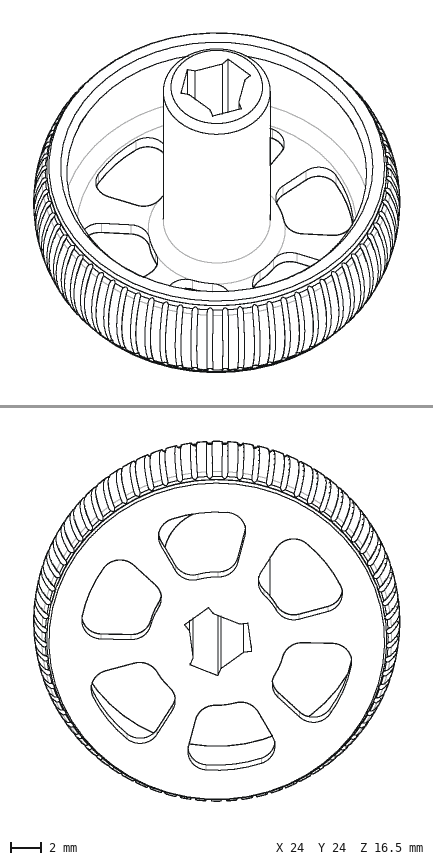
import cadquery as cq
import math

wheel_radius = 12.0
wheel_height = 7.8
total_height = 16.5
mid_height = wheel_height / 2

tread_arc_radius = 8.4
wall_arc_radius = 7.85
rim_thickness = 1.5
rim_top_outer_radius = 10.99
lip_radius = 11.13
lip_height = 0.3
neck_radius = 11.05
tread_edge_radius = 11.23
tread_edge_height = 0.65
tread_rounding_height = 0.29
tread_rounding_bow = 0.02
rim_mouth_radius = 10.22
rim_bevel_inner_radius = 9.8
neck_height = (lip_height + tread_edge_height) / 2
crown_centre_radius = wheel_radius - tread_arc_radius
wall_crest_radius = wheel_radius - rim_thickness

groove_count = 72
groove_radius = 0.2

floor_thickness = 1.0
floor_flat_radius = 9.2
rim_fillet_outer_radius = 10.17
rim_fillet_bow = 0.17
shaft_radius = 3.5
shaft_chamfer = 0.5
shaft_fillet = 0.98

window_count = 6
window_inner_radius = 4.46
window_outer_radius = 8.97
window_half_angle = 21.5
window_corner_radius = 1.3

socket_flat_distance = 1.68
socket_lobe_distance = 2.18
socket_lobe_half_width = 0.98


def wall_height_above_middle(radius):
    """Height above mid-wheel at which the hollow inner wall lies at a distance from the axis."""
    wall_centre_radius = wall_crest_radius - wall_arc_radius
    return math.sqrt(wall_arc_radius**2 - (radius - wall_centre_radius) ** 2)


def make_body():
    """Wheel, floor and shaft as one revolved half section."""
    tread_start = tread_edge_height + tread_rounding_height
    tread_start_radius = crown_centre_radius + math.sqrt(
        tread_arc_radius**2 - (mid_height - tread_start) ** 2
    )
    rounding_middle_radius = (tread_edge_radius + tread_start_radius) / 2 + tread_rounding_bow
    rounding_middle_height = (tread_edge_height + tread_start) / 2 - tread_rounding_bow
    bevel_bottom = mid_height + wall_height_above_middle(rim_bevel_inner_radius)
    wall_bottom = mid_height - wall_height_above_middle(rim_fillet_outer_radius)
    rim_fillet_middle = (
        (floor_flat_radius + rim_fillet_outer_radius) / 2 + rim_fillet_bow,
        (floor_thickness + wall_bottom) / 2 - rim_fillet_bow,
    )
    fillet_drop = shaft_fillet * (1 - math.sqrt(0.5))
    section = (
        cq.Workplane("XZ")
        .moveTo(0, 0)
        .lineTo(rim_top_outer_radius, 0)
        .lineTo(lip_radius, lip_height)
        .threePointArc((neck_radius, neck_height), (tread_edge_radius, tread_edge_height))
        .threePointArc((rounding_middle_radius, rounding_middle_height), (tread_start_radius, tread_start))
        .threePointArc((wheel_radius, mid_height), (tread_start_radius, wheel_height - tread_start))
        .threePointArc(
            (rounding_middle_radius, wheel_height - rounding_middle_height),
            (tread_edge_radius, wheel_height - tread_edge_height),
        )
        .threePointArc((neck_radius, wheel_height - neck_height), (lip_radius, wheel_height - lip_height))
        .lineTo(rim_top_outer_radius, wheel_height)
        .lineTo(rim_mouth_radius, wheel_height)
        .lineTo(rim_bevel_inner_radius, bevel_bottom)
        .threePointArc((wall_crest_radius, mid_height), (rim_fillet_outer_radius, wall_bottom))
        .threePointArc(rim_fillet_middle, (floor_flat_radius, floor_thickness))
        .lineTo(shaft_radius + shaft_fillet, floor_thickness)
        .threePointArc(
            (shaft_radius + fillet_drop, floor_thickness + fillet_drop),
            (shaft_radius, floor_thickness + shaft_fillet),
        )
        .lineTo(shaft_radius, total_height - shaft_chamfer)
        .lineTo(shaft_radius - shaft_chamfer, total_height)
        .lineTo(0, total_height)
        .close()
    )
    return section.revolve(360, (0, 0, 0), (0, 1, 0))


def polar(radius, degrees):
    """Point at a distance and direction from the wheel axis."""
    angle = math.radians(degrees)
    return (radius * math.cos(angle), radius * math.sin(angle))


def make_windows():
    """Rounded sector windows through the floor."""
    window = (
        cq.Workplane("XY")
        .moveTo(*polar(window_inner_radius, -window_half_angle))
        .lineTo(*polar(window_outer_radius, -window_half_angle))
        .threePointArc((window_outer_radius, 0), polar(window_outer_radius, window_half_angle))
        .lineTo(*polar(window_inner_radius, window_half_angle))
        .threePointArc((window_inner_radius, 0), polar(window_inner_radius, -window_half_angle))
        .close()
        .extrude(floor_thickness + shaft_fillet)
        .edges("|Z")
        .fillet(window_corner_radius)
    )
    windows = cq.Workplane("XY")
    for index in range(window_count):
        windows = windows.add(window.rotate((0, 0, 0), (0, 0, 1), index * 360 / window_count))
    return windows.combine()


def make_socket():
    """Triangle with its corners replaced by three square-ended lobes, one pointing to +Y."""
    lobe_root_distance = 2 * socket_flat_distance - socket_lobe_half_width * math.sqrt(3)
    lobe_corners = [
        (lobe_root_distance, -socket_lobe_half_width),
        (socket_lobe_distance, -socket_lobe_half_width),
        (socket_lobe_distance, socket_lobe_half_width),
        (lobe_root_distance, socket_lobe_half_width),
    ]
    outline = []
    for direction in (90, 210, 330):
        for along, across in lobe_corners:
            along_x, along_y = polar(along, direction)
            across_x, across_y = polar(across, direction + 90)
            outline.append((along_x + across_x, along_y + across_y))
    return cq.Workplane("XY").polyline(outline).close().extrude(total_height)


def make_grooves():
    """Round-bottomed grooves that follow the crown of the tread."""
    half_sweep = math.degrees(math.asin((mid_height - neck_height) / tread_arc_radius))
    groove = (
        cq.Workplane("XY")
        .center(wheel_radius, 0)
        .circle(groove_radius)
        .revolve(2 * half_sweep, (-tread_arc_radius, 0, 0), (-tread_arc_radius, 1, 0))
        .rotate((crown_centre_radius, 0, 0), (crown_centre_radius, 1, 0), -half_sweep)
        .translate((0, 0, mid_height))
    )
    grooves = [
        groove.rotate((0, 0, 0), (0, 0, 1), index * 360 / groove_count).val()
        for index in range(groove_count)
    ]
    return cq.Workplane(cq.Compound.makeCompound(grooves))


body = make_body().cut(make_windows()).cut(make_socket()).cut(make_grooves())
result = cq.Workplane(body.solids().val())